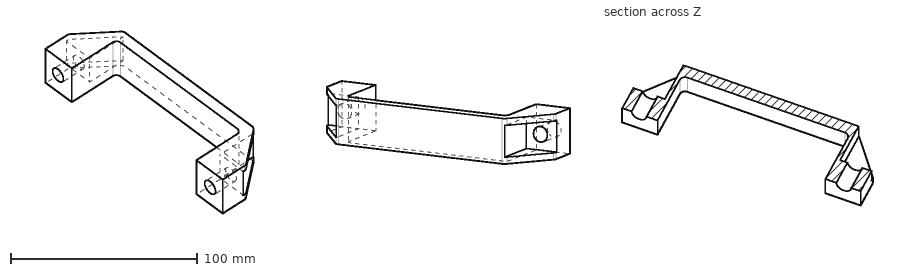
import cadquery as cq

length = 140.0
depth = 40.0
height = 25.0

leg_width = 20.9
grip_thickness = 7.1
inner_radius = 3.0
outer_radius = 3.0
slope_run = 18.5
slope_drop = 23.1

hole_diameter = 8.5
hole_inset = 10.0
pocket_height = 17.5
pocket_wall_inset = 18.5
seat_thickness = 15.1

half_length = length / 2
front_y = -depth / 2
back_y = depth / 2
opening_length = length - 2 * leg_width


def make_handle_body():
    """Bar with sloped outer corners and a rectangular opening between the legs."""
    outer = (
        cq.Workplane("XY")
        .workplane(offset=-height / 2)
        .polyline([
            (-half_length, front_y),
            (half_length, front_y),
            (half_length, back_y - slope_drop),
            (half_length - slope_run, back_y),
            (-half_length + slope_run, back_y),
            (-half_length, back_y - slope_drop),
        ])
        .close()
        .extrude(height)
    )
    sloped_corners = cq.selectors.BoxSelector(
        (-length, back_y - 1.1 * slope_drop, -height),
        (length, back_y + 1.4, height),
    )
    outer = outer.edges("|Z").edges(sloped_corners).fillet(outer_radius)

    opening = (
        cq.Workplane("XY")
        .box(opening_length, 2 * depth, height, centered=(True, False, True))
        .edges("|Z and >Y")
        .fillet(inner_radius)
        .translate((0, back_y - grip_thickness - 2 * depth, 0))
    )
    return outer.cut(opening)


def make_leg_cutter(side):
    """Mounting hole along Y with a square-cornered head pocket, for one leg (side is -1 or 1)."""
    hole = (
        cq.Workplane("XZ", origin=(side * (half_length - hole_inset), back_y, 0))
        .circle(hole_diameter / 2)
        .extrude(depth)
    )
    pocket = (
        cq.Workplane("XY")
        .box(pocket_wall_inset, depth - seat_thickness, pocket_height)
        .translate((side * (half_length - pocket_wall_inset / 2), seat_thickness / 2, 0))
    )
    return hole.union(pocket)


result = make_handle_body()
for side in (-1, 1):
    result = result.cut(make_leg_cutter(side))